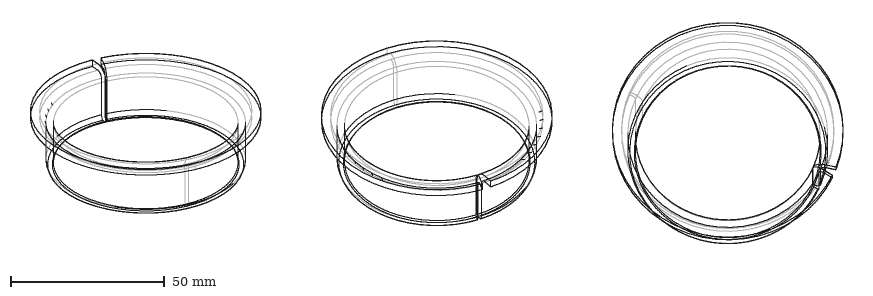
import cadquery as cq
import math

flange_radius = 37.5
bore_radius = 30.0
wall = 2.5
height = 20.0
mouth_radius = 4.5
lead_in_height = 1.8
lead_in_depth = 0.6
bore_chamfer_height = 0.6
bore_chamfer_depth = 0.4
slit_angle = 20.0
slit_apex_radius = 28.9

sleeve_radius = bore_radius + wall
neck_radius = mouth_radius - wall
bend_r = bore_radius + mouth_radius
bend_z = height - mouth_radius


def bend_midpoint(radius):
    """Middle of a quarter arc about the common centre of the bend."""
    offset = radius * math.sqrt(0.5)
    return bend_r - offset, bend_z + offset


def flanged_sleeve():
    """Revolve the wall section, with X as radius, about the Z axis."""
    section = (
        cq.Workplane("XZ")
        .moveTo(bore_radius, bore_chamfer_height)
        .lineTo(bore_radius + bore_chamfer_depth, 0)
        .lineTo(sleeve_radius - lead_in_depth, 0)
        .lineTo(sleeve_radius, lead_in_height)
        .lineTo(sleeve_radius, bend_z)
        .threePointArc(bend_midpoint(neck_radius), (bend_r, height - wall))
        .lineTo(flange_radius, height - wall)
        .lineTo(flange_radius, height)
        .lineTo(bend_r, height)
        .threePointArc(bend_midpoint(mouth_radius), (bore_radius, bend_z))
        .close()
    )
    return section.revolve(360, (0, 0, 0), (0, 1, 0))


def slit_wedge():
    """Full-height wedge that opens outward on the -X side."""
    outer_radius = flange_radius + wall
    half_width = (outer_radius - slit_apex_radius) * math.tan(math.radians(slit_angle / 2))
    outline = [
        (-slit_apex_radius, 0),
        (-outer_radius, half_width),
        (-outer_radius, -half_width),
    ]
    return cq.Workplane("XY").polyline(outline).close().extrude(height)


result = flanged_sleeve().cut(slit_wedge())